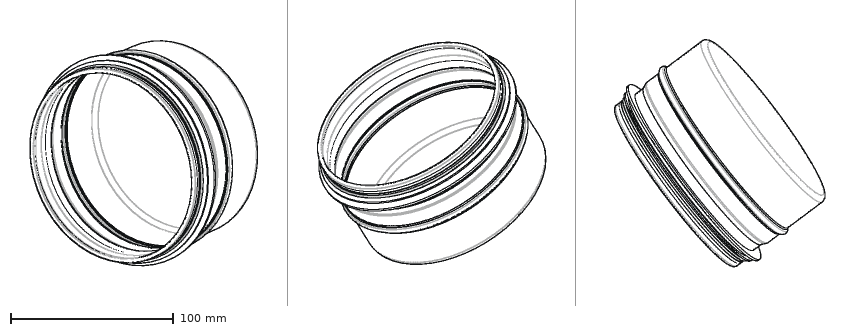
import cadquery as cq
import math

length = 71.0
sheet = 0.6
body_radius = 124.1 / 2
mouth_radius = 119.3 / 2
floor_fillet = 3.2

lip_radius = 118.3 / 2
lip_end = 4.0
hem_end = 5.9
mouth_outer_radius = mouth_radius + sheet
lip_outer_radius = lip_radius + sheet
sleeve_radius = 123.0 / 2
hem_radius = (body_radius - lip_radius) / 2
hem_center_radius = (body_radius + lip_radius) / 2
hem_inner_radius = (sleeve_radius - lip_outer_radius) / 2
hem_inner_center_radius = (sleeve_radius + lip_outer_radius) / 2

taper_start = 10.4
shoulder_start = 21.6
shoulder_start_radius = 60.5
shoulder_end = 24.6
body_start = 25.5
shoulder_end_radius = 61.8

bead_y = 37.9
bead_radius = 64.1
bead_foot_half_width = 3.2
bead_flare_half_width = 2.3
bead_flare_radius = 62.5
bead_crown_half_width = 1.5
bead_crown_radius = 63.5

flange_radius = 67.2
flange_back = 15.5
flange_edge_thickness = 1.5
flange_root_thickness = 1.9
fin_radius = 129.5 / 2
fin_back = 11.3
fin_edge_thickness = 1.1
fin_root_thickness = 1.5
rib_y = 8.2
rib_half_width = 0.7
rib_radius = 62.9
rib_tip_center_radius = rib_radius - rib_half_width
sleeve_back_inner_radius = mouth_outer_radius + (shoulder_start_radius - mouth_outer_radius) * (
    (flange_back - taper_start) / (shoulder_start - taper_start)
)


def revolve_about_y(profile):
    """Turn a closed half-profile (radius, Y) about the Y axis."""
    return profile.close().revolve(360, (0, 0, 0), (0, 1, 0))


def bead_corner(radius, half_width, side, inset):
    """Bead point on one side (-1 or 1), moved into the sheet by inset."""
    narrowing = inset * math.tan(math.pi / 8)
    return radius - inset, bead_y + side * (half_width - narrowing)


def add_bead(profile, inset, direction):
    """Draw the bead along Y in the given direction (1 or -1)."""
    foot = (body_radius, bead_foot_half_width)
    flare = (bead_flare_radius, bead_flare_half_width)
    crown = (bead_crown_radius, bead_crown_half_width)
    for radius, half_width in (foot, flare, crown):
        profile = profile.lineTo(*bead_corner(radius, half_width, -direction, inset))
    profile = profile.threePointArc(
        (bead_radius - inset, bead_y),
        bead_corner(*crown, direction, inset),
    )
    for radius, half_width in (flare, foot):
        profile = profile.lineTo(*bead_corner(radius, half_width, direction, inset))
    return profile


def make_cap():
    arc_share = math.sqrt(0.5)
    corner_radius = body_radius - floor_fillet
    corner_y = length - floor_fillet
    inner_fillet = floor_fillet - sheet

    profile = (
        cq.Workplane("XY")
        .moveTo(lip_outer_radius, hem_radius)
        .lineTo(mouth_outer_radius, lip_end)
        .lineTo(mouth_outer_radius, taper_start)
        .lineTo(shoulder_start_radius, shoulder_start)
        .lineTo(shoulder_end_radius, shoulder_end)
        .lineTo(body_radius, body_start)
    )
    profile = (
        add_bead(profile, 0, 1)
        .lineTo(body_radius, corner_y)
        .threePointArc(
            (corner_radius + floor_fillet * arc_share, corner_y + floor_fillet * arc_share),
            (corner_radius, length),
        )
        .lineTo(0, length)
        .lineTo(0, length - sheet)
        .lineTo(corner_radius, length - sheet)
        .threePointArc(
            (corner_radius + inner_fillet * arc_share, corner_y + inner_fillet * arc_share),
            (body_radius - sheet, corner_y),
        )
    )
    profile = (
        add_bead(profile, sheet, -1)
        .lineTo(body_radius - sheet, body_start)
        .lineTo(shoulder_end_radius - sheet, shoulder_end)
        .lineTo(shoulder_start_radius - sheet, shoulder_start)
        .lineTo(mouth_radius, taper_start)
        .lineTo(mouth_radius, lip_end)
        .lineTo(lip_radius, hem_radius)
        .threePointArc((hem_center_radius, 0), (body_radius, hem_radius))
        .lineTo(body_radius, hem_end)
        .lineTo(sleeve_radius, hem_end)
        .lineTo(sleeve_radius, hem_radius)
        .threePointArc(
            (hem_inner_center_radius, hem_radius - hem_inner_radius),
            (lip_outer_radius, hem_radius),
        )
    )
    return revolve_about_y(profile)


def make_gasket():
    profile = (
        cq.Workplane("XY")
        .moveTo(mouth_outer_radius, taper_start)
        .lineTo(mouth_outer_radius, lip_end)
        .lineTo(sleeve_radius, lip_end)
        .lineTo(sleeve_radius, rib_y - rib_half_width)
        .lineTo(rib_tip_center_radius, rib_y - rib_half_width)
        .threePointArc(
            (rib_radius, rib_y),
            (rib_tip_center_radius, rib_y + rib_half_width),
        )
        .lineTo(sleeve_radius, rib_y + rib_half_width)
        .lineTo(sleeve_radius, fin_back - fin_root_thickness)
        .lineTo(fin_radius, fin_back - fin_edge_thickness)
        .lineTo(fin_radius, fin_back)
        .lineTo(sleeve_radius, fin_back)
        .lineTo(sleeve_radius, flange_back - flange_root_thickness)
        .lineTo(flange_radius, flange_back - flange_edge_thickness)
        .lineTo(flange_radius, flange_back)
        .lineTo(sleeve_back_inner_radius, flange_back)
    )
    return revolve_about_y(profile)


cap = make_cap()
gasket = make_gasket()
result = cq.Compound.makeCompound([cap.val(), gasket.val()])